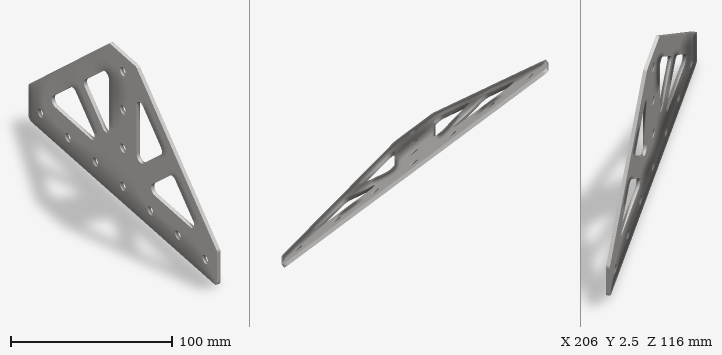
import cadquery as cq
import math

width = 206.0
height = 116.0
thickness = 2.5
outline_radius = 3.0

hole_diameter = 6.2
edge_distance = 13.0
holes_each_side = 3
hole_pitch = (width / 2 - edge_distance) / holes_each_side
holes_above_row = 3

rail_half_width = 15.0
brace_width = 14.0
border_width = 13.4
window_radius = 4.1

top_half_width = 14.6
side_height = height - (width / 2 - top_half_width)


def prism(points):
    """Extrude an XZ outline through the plate thickness, centred on Y = 0."""
    return cq.Workplane("XZ").polyline(points).close().extrude(thickness / 2, both=True)


def make_plate():
    outline = [
        (-width / 2, 0),
        (width / 2, 0),
        (width / 2, side_height),
        (top_half_width, height),
        (-top_half_width, height),
        (-width / 2, side_height),
    ]
    return prism(outline).edges("|Y").fillet(outline_radius)


def make_windows():
    """Two triangular windows in the +X half, either side of the 45 degree brace."""
    rail_top = edge_distance + rail_half_width
    flank_sum = top_half_width + height - border_width * math.sqrt(2)
    brace_offset = brace_width / 2 * math.sqrt(2)
    lower_line = edge_distance - brace_offset
    upper_line = edge_distance + brace_offset

    lower = [
        (rail_top - lower_line, rail_top),
        (flank_sum - rail_top, rail_top),
        ((flank_sum - lower_line) / 2, (flank_sum + lower_line) / 2),
    ]
    upper = [
        (rail_half_width, rail_half_width + upper_line),
        ((flank_sum - upper_line) / 2, (flank_sum + upper_line) / 2),
        (rail_half_width, flank_sum - rail_half_width),
    ]
    return [prism(points).edges("|Y").fillet(window_radius) for points in (lower, upper)]


def make_holes():
    row = [(i * hole_pitch, edge_distance) for i in range(-holes_each_side, holes_each_side + 1)]
    column = [(0, edge_distance + i * hole_pitch) for i in range(1, holes_above_row + 1)]
    holes = cq.Workplane("XZ").pushPoints(row + column).circle(hole_diameter / 2)
    return holes.extrude(thickness / 2, both=True)


result = make_plate().cut(make_holes())
for window in make_windows():
    result = result.cut(window).cut(window.mirror("YZ"))